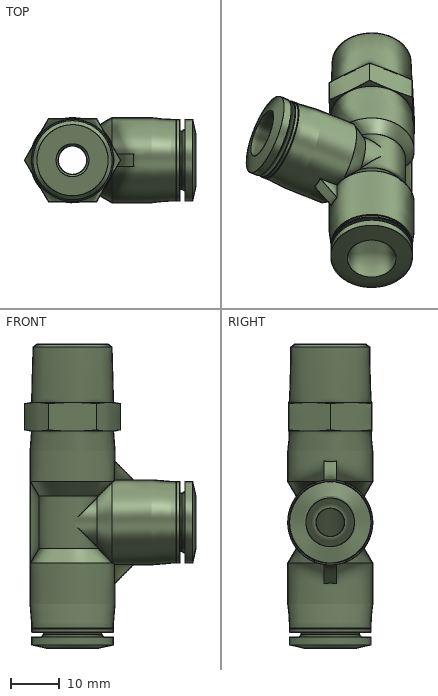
import cadquery as cq

total_height = 62.4
branch_height = 25.85
branch_reach = 25.35

body_radius = 8.75
core_radius = 7.0
run_core_half = 5.35
run_cone_half = 8.35
branch_core_end = 5.05
branch_cone_end = 8.05

end_radius = 16.8 / 2
tip_radius = 5.35
dome_depth = 0.7
flange_depth = 2.3
neck_cone_depth = 2.9
neck_depth = 3.25
seam_depth = 4.05
seam_width = 0.1
seam_cut = 0.1
rim_chamfer = 0.1
land_depth = 5.05
taper_depth = 9.05
neck_radius = 12.0 / 2
neck_cone_radius = 6.35

upper_taper_z = 40.4
hex_bottom = 44.55
hex_top = 50.4
hex_corner_radius = 9.85
hex_face_radius = 8.5
hex_corner_drop = 0.25
thread_root_radius = 8.4
thread_tip_radius = 8.1
thread_chamfer_height = 0.6
thread_top_radius = 7.3

rib_thickness = 2.5
gusset_reach = 21.2
gusset_root = 7.5

bore_radius = 5.8 / 2
bore_mouth_radius = 3.4
bore_mouth_depth = bore_mouth_radius - bore_radius
socket_radius = 10.0 / 2
socket_depth = 16.2


def revolve_profile(points):
    """Turn (radius, height) points about the Z axis, closing the outline along the axis."""
    outline = [(0, points[0][1])] + points + [(0, points[-1][1])]
    return cq.Workplane("XZ").polyline(outline).close().revolve(360, (0, 0), (0, 1))


def push_in_profile():
    """Outline of a push-in end from its tip at height 0 up to the full body diameter."""
    return [
        (tip_radius, 0),
        (end_radius, dome_depth),
        (end_radius, flange_depth),
        (neck_cone_radius, flange_depth),
        (neck_radius, neck_cone_depth),
        (neck_radius, neck_depth),
        (end_radius - rim_chamfer, neck_depth),
        (end_radius, neck_depth + rim_chamfer),
        (end_radius, seam_depth - seam_width / 2),
        (end_radius - seam_cut, seam_depth - seam_width / 2),
        (end_radius - seam_cut, seam_depth + seam_width / 2),
        (end_radius, seam_depth + seam_width / 2),
        (end_radius, land_depth),
        (body_radius, taper_depth),
    ]


def to_branch(shape):
    """Move a shape built upward from Z = 0 so that its base becomes the branch tip."""
    return shape.rotate((0, 0, 0), (0, 1, 0), -90).translate((branch_reach, 0, branch_height))


def make_run():
    return revolve_profile(push_in_profile() + [
        (body_radius, branch_height - run_cone_half),
        (core_radius, branch_height - run_core_half),
        (core_radius, branch_height + run_core_half),
        (body_radius, branch_height + run_cone_half),
        (body_radius, upper_taper_z),
        (thread_root_radius, hex_bottom),
        (thread_root_radius, hex_top),
        (thread_tip_radius, total_height - thread_chamfer_height),
        (thread_top_radius, total_height),
    ])


def make_branch():
    return to_branch(revolve_profile(push_in_profile() + [
        (body_radius, branch_reach - branch_cone_end),
        (core_radius, branch_reach - branch_core_end),
        (core_radius, branch_reach),
    ]))


def make_hexagon():
    prism = (
        cq.Workplane("XY", origin=(0, 0, hex_bottom))
        .polygon(6, 2 * hex_corner_radius)
        .extrude(hex_top - hex_bottom)
    )
    chamfer_envelope = revolve_profile([
        (hex_face_radius, hex_bottom),
        (hex_corner_radius, hex_bottom + hex_corner_drop),
        (hex_corner_radius, hex_top - hex_corner_drop),
        (hex_face_radius, hex_top),
    ])
    return prism.intersect(chamfer_envelope)


def make_back_rib():
    """Rib bridging the waist opposite the branch, flush with the body diameter."""
    slab = cq.Workplane("XY", origin=(0, 0, branch_height)).box(
        body_radius, rib_thickness, 2 * run_cone_half
    ).translate((-body_radius / 2, 0, 0))
    return slab.intersect(cq.Workplane("XY").circle(body_radius).extrude(total_height))


def make_gussets():
    """Two 45 degree webs in the corners between run and branch."""
    root = gusset_root
    plate = (
        cq.Workplane("XZ")
        .polyline([
            (root, root),
            (root, gusset_reach - root),
            (gusset_reach - root, root),
        ])
        .close()
        .extrude(rib_thickness / 2, both=True)
    )
    upper = plate.translate((0, 0, branch_height))
    lower = plate.mirror("XY").translate((0, 0, branch_height))
    return upper.union(lower)


def make_passages():
    socket = cq.Workplane("XY").circle(socket_radius).extrude(socket_depth)
    run_bore = revolve_profile([
        (bore_radius, 0),
        (bore_radius, total_height - bore_mouth_depth),
        (bore_mouth_radius, total_height),
    ])
    branch_bore = to_branch(cq.Workplane("XY").circle(bore_radius).extrude(branch_reach))
    return run_bore.union(branch_bore).union(socket).union(to_branch(socket))


result = make_run().union(make_branch()).union(make_hexagon()).union(make_back_rib()).union(make_gussets())
result = result.cut(make_passages())